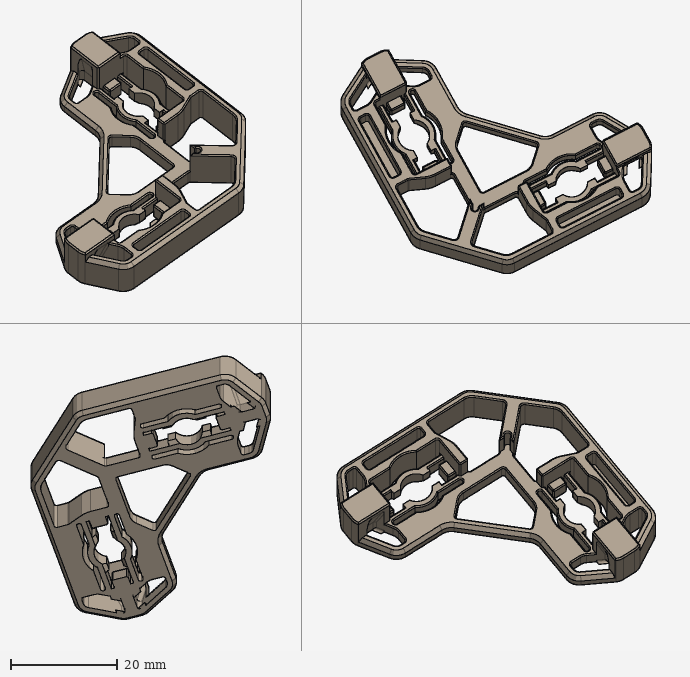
import math

import cadquery as cq


floor_height = 3.0
wall_height = 7.6
block_height = 9.1

arm_length = 48.0
arm_width = 20.0
outer_corner_cut = 13.2
inner_corner_start = 32.0
end_flat_half = 2.1
end_slope = math.radians(30)
outline_radius = 3.0
outline_chamfer = 0.75
edge_chamfer = 0.25
cut_overlap = 1.0

block_width = 5.8
block_chamfer = 0.3
tunnel_depth = 1.7
tunnel_top = 7.9
tunnel_wall_top = 2.6
tunnel_radius = 0.6

clip_x = -32.0
clip_length = 16.0
opening_half = 4.2
opening_radius = 5.2
strip_half = 3.25
strip_radius = 4.2
slot_end_radius = 0.45
channel_half = 2.2
nub_half = 1.45
nub_length = 8.4
center_hole_radius = 3.0
pocket_corner_radius = 0.5
tab_length = 1.8
tab_width = 3.2
tab_chamfer = 0.25

rim = 1.75
corner_radius = 0.5
bend_radius = 2.5
hook_thickness = 2.0
hook_slope_start = 8.3
hook_slope = math.radians(22.5)
hook_bend_radius = 5.0
wall_end = 23.6
floor_edge = 13.0
spoke_half = 1.4
spoke_corner_radius = 0.75
relief_radius = 0.6
inner_window_edge = 16.0
inner_window_reach = 10.4
end_window_edge = 40.3
end_window_bend = 4.9
end_window_radius = 1.25
recess_length = 13.2
recess_width = 2.0
recess_radius = 0.5

arm_y = -arm_width / 2
clip_start = clip_x - clip_length / 2
clip_end = clip_x + clip_length / 2
hook_x = clip_end + hook_thickness
block_top_y = arm_y + block_width / 2
low_edge = arm_y - block_width / 2


def mirrored(solid):
    """Reflect a body from the -X arm onto the -Y arm."""
    return solid.mirror(cq.Vector(1, -1, 0))


def rounded_polygon(corners):
    """Closed wire through corners (x, y, radius), each rounded by its own radius."""
    rounded = []
    for i, (x, y, radius) in enumerate(corners):
        here = cq.Vector(x, y)
        to_last = (cq.Vector(*corners[i - 1][:2]) - here).normalized()
        to_next = (cq.Vector(*corners[(i + 1) % len(corners)][:2]) - here).normalized()
        half_angle = to_last.getAngle(to_next) / 2
        setback = radius / math.tan(half_angle)
        middle_distance = radius / math.sin(half_angle) - radius
        middle = here + (to_last + to_next).normalized() * middle_distance
        rounded.append((here + to_last * setback, middle, here + to_next * setback))
    wire = cq.Workplane().moveTo(*rounded[0][2].toTuple()[:2])
    for start, middle, end in rounded[1:] + rounded[:1]:
        wire = wire.lineTo(start.x, start.y)
        wire = wire.threePointArc((middle.x, middle.y), (end.x, end.y))
    return wire.close()


def flared(prism):
    """Widen a cutter by a 45 degree flare of edge_chamfer on top of it."""
    flare = prism.faces(">Z").wires().toPending().extrude(edge_chamfer, combine=False, taper=-45)
    return prism.union(flare)


def flared_window(corners, top):
    return flared(rounded_polygon(corners).extrude(top - edge_chamfer))


def box(x_min, x_max, y_min, y_max, z_min, z_max):
    size = (x_max - x_min, y_max - y_min, z_max - z_min)
    return cq.Workplane().box(*size, centered=False).translate((x_min, y_min, z_min))


def clip_shape(half_width, radius, height, length=clip_length):
    """A bar along the clip with a round bulge at its middle."""
    bar = cq.Workplane().rect(length, 2 * half_width).extrude(height)
    return bar.union(cq.Workplane().circle(radius).extrude(height)).translate((clip_x, arm_y, 0))


def outline_plate(height):
    slope_run = (arm_width / 2 - end_flat_half) * math.tan(end_slope)
    shoulder = slope_run - arm_length
    sharp = [
        (-outer_corner_cut, 0),
        (shoulder, 0),
        (-arm_length, arm_y + end_flat_half),
        (-arm_length, arm_y - end_flat_half),
        (shoulder, -arm_width),
        (-inner_corner_start, -arm_width),
    ]
    sharp += [(y, x) for x, y in reversed(sharp)]
    return rounded_polygon([(x, y, outline_radius) for x, y in sharp]).extrude(height)


def chamfered_plate(height):
    return outline_plate(height).faces("<Z or >Z").chamfer(outline_chamfer)


def outer_window(top, inner_edge):
    """Large window between the hook, the outer rim, the spoke on the diagonal and an inner edge."""
    slope_length = (hook_x + wall_end) / math.tan(hook_slope)
    spoke_gap = spoke_half * math.sqrt(2)
    rim_sum = -outer_corner_cut - rim * math.sqrt(2)
    slope_end = slope_length - hook_slope_start
    corners = [
        (-wall_end, -rim, corner_radius),
        (rim_sum + rim, -rim, bend_radius),
        ((rim_sum - spoke_gap) / 2, (rim_sum + spoke_gap) / 2, spoke_corner_radius),
        (-inner_edge - spoke_gap, -inner_edge, corner_radius),
        (hook_x, -inner_edge, corner_radius),
        (hook_x, -hook_slope_start, hook_bend_radius),
        (-wall_end, slope_end, corner_radius),
    ]
    return flared_window(corners, top)


def inner_window(top):
    """Five-sided window through the floor, symmetric about the diagonal."""
    edge = -inner_window_edge
    side_sum = -inner_corner_start - arm_width + rim * math.sqrt(2)
    near = (side_sum - inner_window_reach) / 2
    far = (side_sum + inner_window_reach) / 2
    corners = [
        (edge, edge, corner_radius),
        (edge - inner_window_reach, edge, bend_radius),
        (near, far, corner_radius),
        (far, near, corner_radius),
        (edge, edge - inner_window_reach, bend_radius),
    ]
    return flared_window(corners, top)


def end_window_sides(y):
    """Both sloping sides of the end window, as x positions at height y."""
    slope = math.tan(end_slope)
    outer = -arm_length + rim / math.cos(end_slope) + (y - arm_y - end_flat_half) * slope
    inner = -end_window_edge + (y + end_window_bend) * slope
    return outer, inner


def end_window(top):
    """Window beside the end block, reaching in under it."""
    end_y = block_top_y - tunnel_depth
    end_outer, end_inner = end_window_sides(end_y)
    corners = [
        (end_window_sides(-rim)[0], -rim, end_window_radius),
        (-end_window_edge, -rim, corner_radius),
        (-end_window_edge, -end_window_bend, bend_radius),
        (end_inner, end_y, corner_radius),
        (end_outer, end_y, corner_radius),
    ]
    return flared_window(corners, top)


def end_windows(top):
    window = end_window(top)
    return window.union(window.mirror("XZ", (0, arm_y, 0)))


def recess():
    """Blind slot in the top of the outer wall."""
    prism = cq.Workplane().rect(recess_length, recess_width)
    prism = prism.extrude(wall_height - floor_height - edge_chamfer).edges("|Z").fillet(recess_radius)
    return flared(prism).translate((clip_x, -rim - recess_width / 2, floor_height))


def floor_slots():
    """The two flexure slots on either side of the clip."""
    height = floor_height - edge_chamfer
    slots = clip_shape(opening_half, opening_radius, height)
    slots = slots.cut(clip_shape(strip_half, strip_radius, height, clip_length + cut_overlap))
    slots = slots.edges("|Z and (<X or >X)").fillet(slot_end_radius)
    return flared(slots)


def channel():
    prism = cq.Workplane().rect(clip_length, 2 * channel_half).extrude(floor_height - edge_chamfer)
    return flared(prism).translate((clip_x, arm_y, 0))


def nubs():
    """Thick middle stretches of the flexure strips, beveled underneath where they overhang."""
    bar = cq.Workplane().rect(nub_length, 2 * (channel_half + edge_chamfer)).extrude(floor_height)
    gap = cq.Workplane().rect(nub_length, 2 * nub_half).extrude(floor_height)
    overhang = channel_half - nub_half
    bevel = cq.Workplane("YZ").polyline([
        (-channel_half, 0),
        (channel_half, 0),
        (nub_half, overhang),
        (-nub_half, overhang),
    ]).close().extrude(nub_length / 2, both=True)
    return bar.cut(gap).cut(bevel).translate((clip_x, arm_y, 0))


def center_hole():
    return cq.Workplane().circle(center_hole_radius).extrude(floor_height).translate((clip_x, arm_y, 0))


def tabs():
    half = tab_width / 2
    tab = box(clip_end - tab_length, clip_end, arm_y - half, arm_y + half, 0, floor_height)
    tab = tab.edges("|Z and <X").chamfer(tab_chamfer).faces(">Z").edges("not >X").chamfer(tab_chamfer)
    return tab.union(tab.mirror("YZ", (clip_x, 0, 0)))


def low_floor():
    floor = chamfered_plate(floor_height).cut(inner_window(floor_height))
    cutters = outer_window(floor_height, floor_edge).union(end_windows(floor_height))
    cutters = cutters.union(floor_slots()).union(channel())
    floor = floor.cut(cutters).cut(mirrored(cutters))
    clip = nubs()
    floor = floor.union(clip).union(mirrored(clip))
    hole = center_hole()
    return floor.cut(hole).cut(mirrored(hole))


def clip_pocket():
    """Room above the clip, open toward the low floor."""
    height = wall_height - edge_chamfer
    bar = box(clip_start, clip_end, 2 * low_edge, arm_y + opening_half, 0, height)
    bar = bar.edges("|Z and >Y").fillet(pocket_corner_radius)
    bulge = cq.Workplane().circle(opening_radius).extrude(height).translate((clip_x, arm_y, 0))
    return flared(bar).union(flared(bulge))


def low_quadrant():
    far = -2 * arm_length
    return flared(box(far, low_edge, far, low_edge, 0, wall_height - edge_chamfer))


def spoke_relief():
    """Round relief in the end of the spoke."""
    prism = cq.Workplane().circle(relief_radius).extrude(wall_height - edge_chamfer)
    return flared(prism).translate((low_edge, low_edge, 0))


def corner_bevel(x, height=wall_height, width=edge_chamfer):
    """Cutter for a vertical bevel above the floor, where a wall meets the edge of the low floor."""
    side = width * math.sqrt(2)
    prism = cq.Workplane().rect(side, side).extrude(height - floor_height)
    return prism.rotate((0, 0, 0), (0, 0, 1), 45).translate((x, low_edge, floor_height))


def block_bevel():
    """Bevel on the corner of the end block beside the clip."""
    return corner_bevel(clip_start, block_height, block_chamfer)


def high_wall():
    wall = chamfered_plate(wall_height).cut(low_quadrant()).cut(spoke_relief())
    cutters = [
        outer_window(wall_height, floor_edge + cut_overlap),
        end_windows(wall_height),
        recess(),
        clip_pocket(),
        block_bevel(),
    ]
    cutters += [corner_bevel(x) for x in (clip_end, hook_x, low_edge - relief_radius)]
    for cutter in cutters:
        wall = wall.cut(cutter).cut(mirrored(cutter))
    return wall


def tunnel():
    """Part of the end window under the block, closed by a steep sloping roof."""
    mouth_y = block_top_y + cut_overlap
    end_y = block_top_y - tunnel_depth
    mouth = end_window_sides(mouth_y)
    end = end_window_sides(end_y)
    corners = [(mouth[0], mouth_y), (mouth[1], mouth_y), (end[1], end_y), (end[0], end_y)]
    hollow = cq.Workplane().polyline(corners).close().extrude(block_height)
    roof_slope = (tunnel_top - tunnel_wall_top) / tunnel_depth
    roof_points = [
        (mouth_y, tunnel_top + roof_slope * (mouth_y - block_top_y)),
        (end_y, tunnel_wall_top),
        (end_y, 2 * block_height),
        (mouth_y, 2 * block_height),
    ]
    roof = cq.Workplane("YZ").polyline(roof_points).close().extrude(-arm_length)
    hollow = hollow.cut(roof)
    end_zone = cq.selectors.BoxSelector(
        (-arm_length, end_y - cut_overlap, 0),
        (0, block_top_y + cut_overlap / 2, block_height),
    )
    return hollow.edges(end_zone).edges("not |X").fillet(tunnel_radius)


def end_block():
    block = outline_plate(block_height).faces("<Z").chamfer(outline_chamfer)
    block = block.faces(">Z").chamfer(block_chamfer)
    bounds = box(-2 * arm_length, clip_start, low_edge, block_top_y, 0, block_height)
    block = block.intersect(bounds.faces(">Z").chamfer(block_chamfer))
    block = block.cut(block_bevel())
    hollow = tunnel()
    return block.cut(hollow).cut(hollow.mirror("XZ", (0, arm_y, 0)))


ends = end_block().union(tabs())
result = high_wall().union(ends).union(mirrored(ends)).union(low_floor())